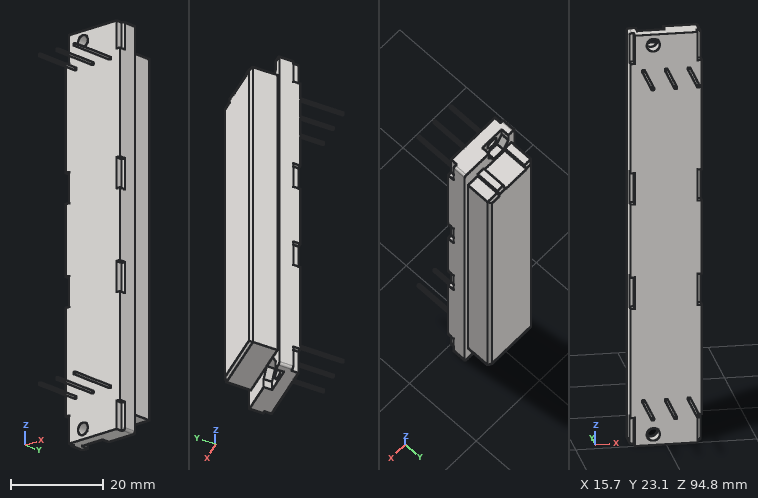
import cadquery as cq
import math

length = 94.8
base_width = 15.7
base_depth = 5.0
pin_length = 11.6
total_depth = 23.1
pin_tip_y = -total_depth / 2
base_front_y = pin_tip_y + pin_length
base_back_y = base_front_y + base_depth
base_corner_radius = 0.6

cover_width = 13.65
cover_length = 84.75
cover_back_y = total_depth / 2
cover_chamfer = 0.7

recess_left_x = -4.7
rib_left_x = 1.9
rib_right_x = 3.8
recess_depth = 0.95
shoulder_depth = recess_depth

notch_width = 0.95
notch_depth = 1.7
end_notch_length = 6.5
middle_notch_length = 7.2
middle_notch_z = 12.0

hole_diameter = 2.8
hole_x = -2.8
hole_z = length / 2 - 2.5
nut_corners = 6.1
nut_depth = 2.0

pin_diameter = 0.62
pin_pitch = 5.0
pin_row_spacing = 76.2
pin_rows_center_z = 0.95


def block(width, front_y, back_y, height, x=0, z=0):
    """Box centred on x and z, reaching from front_y to back_y."""
    return (
        cq.Workplane("XY")
        .box(width, back_y - front_y, height)
        .translate((x, (front_y + back_y) / 2, z))
    )


def rod(diameter, x, z, front_y, back_y):
    """Round rod along Y."""
    plane = cq.Workplane("XZ", origin=(x, back_y, z))
    return plane.circle(diameter / 2).extrude(back_y - front_y)


def nut_slot(side):
    """Hexagonal nut seat that opens towards the end of the plate."""
    corner = nut_corners / 2
    flat = corner * math.sin(math.radians(60))
    outline = [
        (hole_x - corner, side * length / 2),
        (hole_x - corner, side * hole_z),
        (hole_x - corner / 2, side * (hole_z - flat)),
        (hole_x + corner / 2, side * (hole_z - flat)),
        (hole_x + corner, side * hole_z),
        (hole_x + corner, side * length / 2),
    ]
    plane = cq.Workplane("XZ", origin=(0, base_back_y, 0))
    return plane.polyline(outline).close().extrude(nut_depth)


def base_plate():
    """Plate with rounded corners and snap notches cut into its front edges."""
    plate = block(base_width, base_front_y, base_back_y, length)
    plate = plate.edges("|Y").fillet(base_corner_radius)
    notch_back_y = base_front_y + notch_depth
    end_notch_z = (length - end_notch_length) / 2
    for side in (-1, 1):
        notch_x = side * (base_width - notch_width) / 2
        for end in (-1, 1):
            for notch_length, notch_z in (
                (end_notch_length, end_notch_z),
                (middle_notch_length, middle_notch_z),
            ):
                notch = block(notch_width, base_front_y, notch_back_y, notch_length, notch_x, end * notch_z)
                plate = plate.cut(notch)
    return plate


def chamfered_cover(end_drop):
    """Cover block with its upper end lowered by end_drop and its back rim chamfered."""
    height = cover_length - end_drop
    body = block(cover_width, base_back_y, cover_back_y, height, z=-end_drop / 2)
    return body.faces(">Y").edges().chamfer(cover_chamfer)


def cover_zone(left_x, right_x, bottom_z, top_z):
    """Box through the full depth of the cover between two X and two Z positions."""
    middle_x = (left_x + right_x) / 2
    middle_z = (bottom_z + top_z) / 2
    return block(right_x - left_x, base_back_y, cover_back_y, top_z - bottom_z, middle_x, middle_z)


def stepped_cover():
    """Cover with the recess, rib and shoulder in its upper end."""
    top_z = cover_length / 2
    shoulder_zone = cover_zone(rib_right_x, cover_width / 2, -top_z, top_z)
    shoulder = chamfered_cover(shoulder_depth).intersect(shoulder_zone)
    recess = cover_zone(recess_left_x, rib_left_x, top_z - recess_depth, top_z)
    return chamfered_cover(0).cut(shoulder_zone).union(shoulder).cut(recess)


result = base_plate().union(stepped_cover())
for side in (-1, 1):
    result = result.cut(nut_slot(side))
    result = result.cut(rod(hole_diameter, hole_x, side * hole_z, base_front_y, base_back_y))
    pin_z = pin_rows_center_z + side * pin_row_spacing / 2
    for column in (-1, 0, 1):
        pin = rod(pin_diameter, column * pin_pitch, pin_z, pin_tip_y, base_front_y)
        result = result.union(pin)